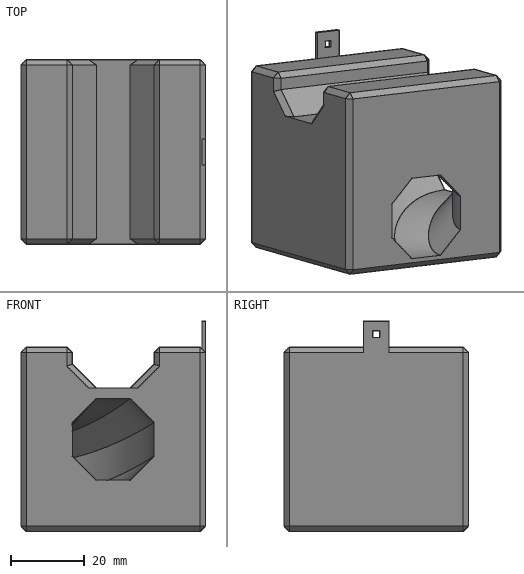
import cadquery as cq
import math

cube = 50.0
total_height = 57.0
bevel = 1.5
channel_radius = 11.95
entry_height = cube / 2
exit_height = 13.7
tunnel_stations = 13
tab_thickness = 1.0
tab_width = 7.0
tab_hole = 1.75

half = cube / 2
flat_radius = channel_radius * math.cos(math.pi / 8)
groove_floor = cube - flat_radius
octagon = [
    (
        channel_radius * math.cos(math.pi / 8 + corner * math.pi / 4),
        channel_radius * math.sin(math.pi / 8 + corner * math.pi / 4),
    )
    for corner in range(8)
]


def make_block():
    """Bevelled cube with a half-octagon groove along Y in its top face."""
    block = cq.Workplane("XY").box(cube, cube, cube, centered=(True, True, False))
    groove = (
        cq.Workplane("XZ", origin=(0, half, cube))
        .polyline(octagon)
        .close()
        .extrude(cube)
    )
    block = block.cut(groove)

    outer_edges = block.faces("<X or >X or <Y or >Y or >Z").edges()
    floor_edges = block.faces(
        cq.selectors.NearestToPointSelector((0, 0, groove_floor))
    ).edges()
    bevelled = [
        edge for edge in outer_edges.vals()
        if not any(edge.isSame(other) for other in floor_edges.vals())
    ]
    return block.newObject(bevelled).chamfer(bevel)


def make_tunnel():
    """Octagonal quarter turn about the (-X, -Y) corner, level at both ends."""
    wires = []
    for station in range(tunnel_stations):
        progress = station / (tunnel_stations - 1)
        angle = progress * math.pi / 2
        drop = (entry_height - exit_height) * (1 - math.cos(math.pi * progress)) / 2
        radial = cq.Vector(math.cos(angle), math.sin(angle), 0)
        tangent = cq.Vector(math.sin(angle), -math.cos(angle), 0)
        centre = cq.Vector(-half, -half, entry_height - drop) + radial * half
        section = cq.Workplane(cq.Plane(centre, radial, tangent))
        wires.append(section.polyline(octagon).close().val())
    return cq.Workplane(cq.Solid.makeLoft(wires))


def make_tab():
    """Thin upright tab on the +X side, with a square hole through it."""
    base = cube - bevel
    tab_rise = total_height - cube
    tab = cq.Workplane("XY").box(
        tab_thickness, tab_width, total_height - base, centered=(True, True, False)
    )
    tab = tab.translate((half - tab_thickness / 2, 0, base))
    hole = cq.Workplane("XY").box(2 * tab_thickness, tab_hole, tab_hole)
    return tab.cut(hole.translate((half - tab_thickness / 2, 0, cube + tab_rise / 2)))


result = make_block().cut(make_tunnel()).union(make_tab())